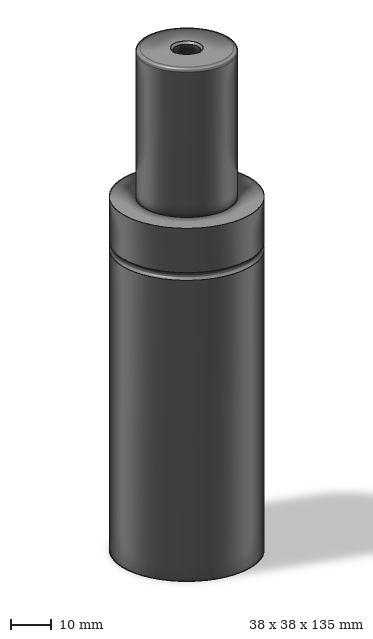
import cadquery as cq
import math

body_diameter = 38.0
body_height = 95.0
rod_diameter = 25.0
total_height = 135.0
rod_edge_radius = 1.0

groove_radius = 1.0
groove_center_below_shoulder = 13.0

hole_diameter = 6.8
hole_mouth_diameter = 8.0
hole_depth = 16.0
drill_point_angle = 118.0

body_radius = body_diameter / 2
groove_center_z = body_height - groove_center_below_shoulder
hole_radius = hole_diameter / 2
hole_mouth_radius = hole_mouth_diameter / 2
mouth_chamfer = hole_mouth_radius - hole_radius
drill_point_height = hole_radius / math.tan(math.radians(drill_point_angle / 2))


def make_body():
    """Cylindrical body with a half-round groove below its top shoulder."""
    body = cq.Workplane("XY").circle(body_radius).extrude(body_height)
    groove = (
        cq.Workplane("XZ")
        .center(body_radius, groove_center_z)
        .circle(groove_radius)
        .revolve(360, (-body_radius, 0), (-body_radius, 1))
    )
    return body.cut(groove)


def make_rod():
    """Rod standing on the body, with a rounded top edge."""
    rod = (
        cq.Workplane("XY")
        .workplane(offset=body_height)
        .circle(rod_diameter / 2)
        .extrude(total_height - body_height)
    )
    return rod.faces(">Z").edges().fillet(rod_edge_radius)


def make_hole():
    """Solid to cut away: 45 degree mouth, straight bore and conical bottom."""
    bore_bottom_z = total_height - hole_depth
    return (
        cq.Workplane("XZ")
        .moveTo(0, total_height)
        .lineTo(hole_mouth_radius, total_height)
        .lineTo(hole_radius, total_height - mouth_chamfer)
        .lineTo(hole_radius, bore_bottom_z)
        .lineTo(0, bore_bottom_z - drill_point_height)
        .close()
        .revolve(360, (0, 0), (0, 1))
    )


result = make_body().union(make_rod()).cut(make_hole())